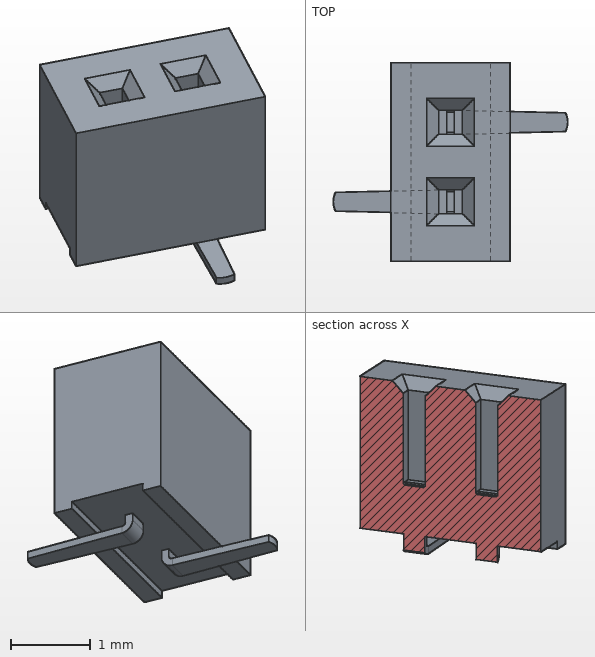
import cadquery as cq

overall_length = 2.95
overall_height = 2.25
body_width = 1.5
body_depth = 2.5
body_bottom = 0.15
channel_width = 1.0
channel_height = 0.1
channel_roof = body_bottom + channel_height

contact_pitch = 1.0
socket_mouth = 0.6
socket_bore = 0.3
lead_in_depth = (socket_mouth - socket_bore) / 2
bore_depth = 1.328
slot_end_width = 0.255
slot_depth = (socket_bore - slot_end_width) / 2

lead_thickness = 0.1
lead_width = socket_bore
tip_width = 0.24
tip_bulge = 0.03
bend_inner_radius = 0.05
bend_outer_radius = bend_inner_radius + lead_thickness
bend_start = lead_thickness / 2 + bend_inner_radius


def make_body():
    """Block with a channel along Y between two standing feet."""
    block = (
        cq.Workplane("XY")
        .workplane(offset=body_bottom)
        .rect(body_width, body_depth)
        .extrude(overall_height - body_bottom)
    )
    channel = (
        cq.Workplane("XY")
        .workplane(offset=body_bottom)
        .rect(channel_width, body_depth)
        .extrude(channel_height)
    )
    return block.cut(channel)


def make_socket():
    """Cavity of one socket: tapered mouth, square bore and narrow contact slot."""
    floor = overall_height - bore_depth
    lead_in = (
        cq.Workplane("XY")
        .workplane(offset=overall_height)
        .rect(socket_mouth, socket_mouth)
        .workplane(offset=-lead_in_depth)
        .rect(socket_bore, socket_bore)
        .loft(ruled=True)
    )
    bore = (
        cq.Workplane("XY")
        .workplane(offset=floor)
        .rect(socket_bore, socket_bore)
        .extrude(bore_depth - lead_in_depth)
    )
    slot = (
        cq.Workplane("XY")
        .workplane(offset=floor)
        .rect(lead_thickness, socket_bore)
        .workplane(offset=-slot_depth)
        .rect(lead_thickness, slot_end_width)
        .loft(ruled=True)
    )
    return lead_in.union(bore).union(slot)


def make_lead():
    """Stem below the body, bent to run flat toward +X and end in a rounded tip."""
    half_thickness = lead_thickness / 2
    tip_end = overall_length / 2
    profile = (
        cq.Workplane("XZ")
        .moveTo(-half_thickness, channel_roof)
        .lineTo(-half_thickness, bend_outer_radius)
        .radiusArc((bend_start, 0), -bend_outer_radius)
        .lineTo(tip_end, 0)
        .lineTo(tip_end, lead_thickness)
        .lineTo(bend_start, lead_thickness)
        .radiusArc((half_thickness, bend_outer_radius), bend_inner_radius)
        .lineTo(half_thickness, channel_roof)
        .close()
        .extrude(lead_width / 2, both=True)
    )
    tip_corner = tip_end - tip_bulge
    outline = (
        cq.Workplane("XY")
        .moveTo(-half_thickness, -lead_width / 2)
        .lineTo(bend_start, -lead_width / 2)
        .lineTo(tip_corner, -tip_width / 2)
        .threePointArc((tip_end, 0), (tip_corner, tip_width / 2))
        .lineTo(bend_start, lead_width / 2)
        .lineTo(-half_thickness, lead_width / 2)
        .close()
        .extrude(channel_roof)
    )
    return profile.intersect(outline)


result = make_body()
for side in (-1, 1):
    contact_place = (0, side * contact_pitch / 2, 0)
    lead_turn = 180 if side < 0 else 0
    lead = make_lead().rotate((0, 0, 0), (0, 0, 1), lead_turn)
    result = result.cut(make_socket().translate(contact_place))
    result = result.union(lead.translate(contact_place))